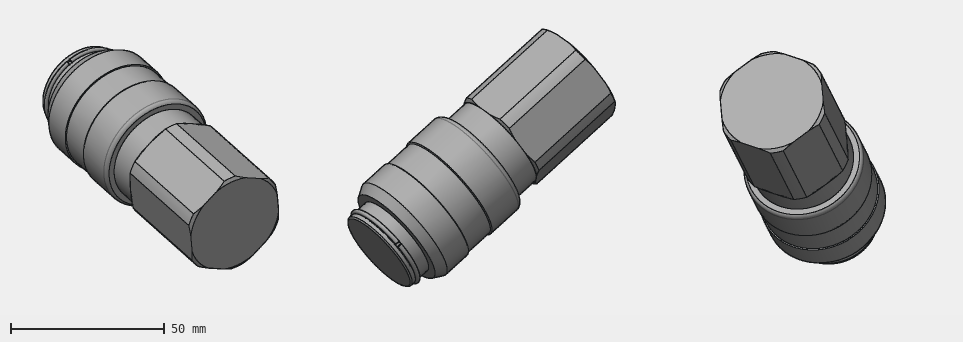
import cadquery as cq
import math

sleeve_front_x = 8.0
sleeve_cone_end_x = 11.6
band_start_x = 21.3
band_end_x = 32.0
sleeve_rear_x = 45.6
hex_start_x = 55.1
total_length = 91.05

nose_diameter = 30.0
nose_face_diameter = 29.0
nose_chamfer_length = 0.5

sleeve_diameter = 40.0
sleeve_front_diameter = 36.0
sleeve_rear_diameter = 38.0
sleeve_rear_arc_radius = 1.8
band_diameter = 39.0
band_rear_slope_length = 0.3

neck_diameter = 34.0
hex_sides = 6
hex_across_flats = 34.0
hex_corner_diameter = 37.0
hex_face_diameter = 34.6
hex_chamfer_angle = 30.0
hex_corner_turn = 4.7

groove_start_x = 2.0
groove_end_x = 3.73
groove_diameter = 28.5

ring_wire_diameter = 1.6
ring_gap_width = 1.1
ring_gap_turn = 24.0

ring_center_x = groove_end_x - ring_wire_diameter / 2
ring_mean_radius = (groove_diameter + ring_wire_diameter) / 2


def turned_front():
    """Grooved nose, sleeve and neck, revolved about X up to the hexagon."""
    sleeve_radius = sleeve_diameter / 2
    rear_radius = sleeve_rear_diameter / 2
    arc_rise = sleeve_rear_arc_radius - (sleeve_radius - rear_radius)
    arc_length = math.sqrt(sleeve_rear_arc_radius**2 - arc_rise**2)
    profile = (
        cq.Workplane("XY")
        .moveTo(0, 0)
        .lineTo(0, nose_face_diameter / 2)
        .lineTo(nose_chamfer_length, nose_diameter / 2)
        .lineTo(groove_start_x, nose_diameter / 2)
        .lineTo(groove_start_x, groove_diameter / 2)
        .lineTo(groove_end_x, groove_diameter / 2)
        .lineTo(groove_end_x, nose_diameter / 2)
        .lineTo(sleeve_front_x, nose_diameter / 2)
        .lineTo(sleeve_front_x, sleeve_front_diameter / 2)
        .lineTo(sleeve_cone_end_x, sleeve_radius)
        .lineTo(band_start_x, sleeve_radius)
        .lineTo(band_start_x, band_diameter / 2)
        .lineTo(band_end_x - band_rear_slope_length, band_diameter / 2)
        .lineTo(band_end_x, sleeve_radius)
        .lineTo(sleeve_rear_x - arc_length, sleeve_radius)
        .tangentArcPoint((sleeve_rear_x, rear_radius), relative=False)
        .lineTo(sleeve_rear_x, neck_diameter / 2)
        .lineTo(hex_start_x, neck_diameter / 2)
        .lineTo(hex_start_x, 0)
        .close()
    )
    return profile.revolve(360, (0, 0, 0), (1, 0, 0))


def hexagon():
    """Hexagon whose corners are turned to a cylinder and chamfered at both ends."""
    corner_radius = hex_corner_diameter / 2
    face_radius = hex_face_diameter / 2
    chamfer_length = (corner_radius - face_radius) * math.tan(math.radians(hex_chamfer_angle))
    across_corners = hex_across_flats / math.cos(math.pi / hex_sides)
    prism = (
        cq.Workplane("YZ", origin=(hex_start_x, 0, 0))
        .polygon(hex_sides, across_corners)
        .extrude(total_length - hex_start_x)
        .rotate((0, 0, 0), (1, 0, 0), 90 + hex_corner_turn)
    )
    envelope = (
        cq.Workplane("XY")
        .moveTo(hex_start_x, 0)
        .lineTo(hex_start_x, face_radius)
        .lineTo(hex_start_x + chamfer_length, corner_radius)
        .lineTo(total_length - chamfer_length, corner_radius)
        .lineTo(total_length, face_radius)
        .lineTo(total_length, 0)
        .close()
        .revolve(360, (0, 0, 0), (1, 0, 0))
    )
    return prism.intersect(envelope)


def full_ring():
    """Closed ring of round wire around the nose."""
    return (
        cq.Workplane("XY")
        .center(ring_center_x, ring_mean_radius)
        .circle(ring_wire_diameter / 2)
        .revolve(360, (0, -ring_mean_radius, 0), (1, -ring_mean_radius, 0))
    )


def make_coupling():
    """Coupling body: the turned front joined to the hexagon."""
    return turned_front().union(hexagon())


def make_snap_ring():
    """Snap ring, opened by a narrow gap."""
    gap = (
        cq.Workplane("XY")
        .box(2 * ring_wire_diameter, ring_gap_width, 2 * ring_wire_diameter)
        .translate((ring_center_x, 0, ring_mean_radius))
        .rotate((0, 0, 0), (1, 0, 0), ring_gap_turn)
    )
    return full_ring().cut(gap)


coupling = make_coupling()
snap_ring = make_snap_ring()

result = cq.Compound.makeCompound([coupling.val(), snap_ring.val()])